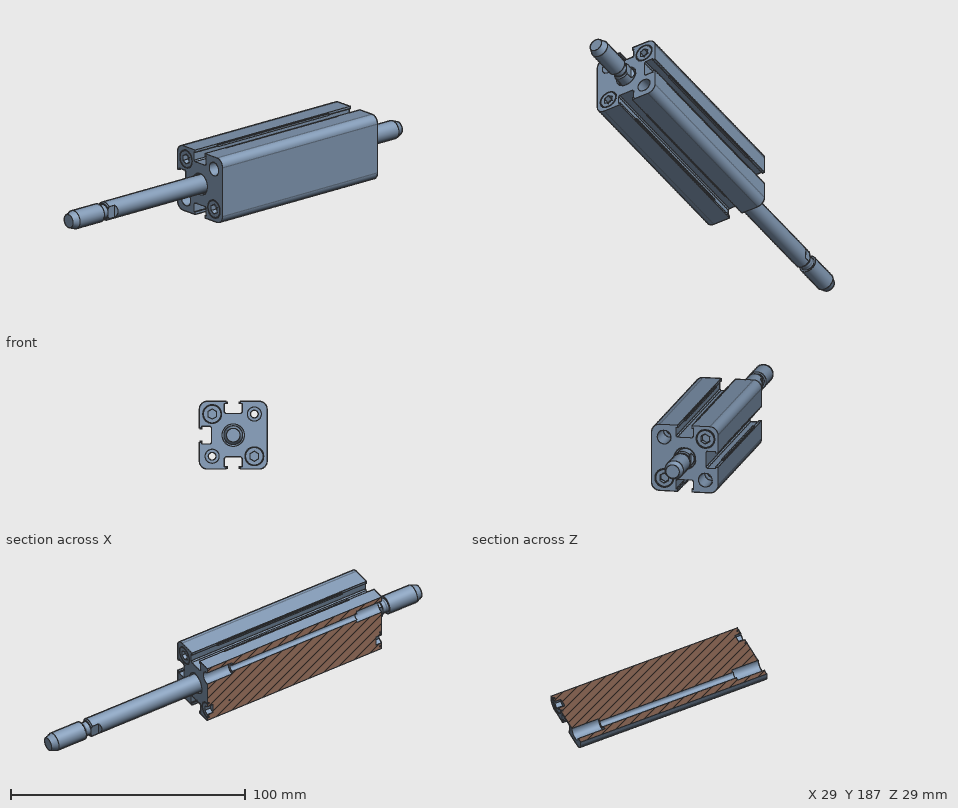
import cadquery as cq
import math

overall_length = 187.0
housing_side = 29.0
corner_radius = 3.5
housing_rear_y = 69.2
housing_front_y = -18.9
cap_length = 12.5

slot_width = 7.5
slot_depth = 5.2
slot_floor_chamfer = 0.5
lip_thickness = 1.1
cap_opening = 6.2
profile_opening = 5.0
lip_step_depth = 0.4

bolt_offset = 9.0
screw_pocket_diameter = 8.0
screw_head_diameter = 7.5
screw_gap_depth = 1.0
hex_across_flats = 3.7
screw_socket_depth = 2.8
mount_diameter = 6.0
mount_depth = cap_length
through_diameter = 3.2

rod_diameter = 8.0
bore_diameter = 9.5
bore_depth = 1.9
tip_diameter = 5.8
tip_length = 3.0
thread_length = 16.8
neck_diameter = 6.0
neck_length = 3.0
flare_diameter = 6.4
flare_length = 1.0
shoulder_chamfer = 0.5
flat_width = 6.0
flat_length = 3.7

half_side = housing_side / 2
rod_radius = rod_diameter / 2
rod_end = overall_length / 2


def along_y(start, end):
    """Return a workplane at y = start and the signed length that extrudes it to y = end."""
    return cq.Workplane("XZ", origin=(0, start, 0)), start - end


def cylinder(diameter, start, end, x=0, z=0):
    plane, length = along_y(start, end)
    return plane.center(x, z).circle(diameter / 2).extrude(length)


def hex_socket(start, end, x, z):
    """Hexagonal pocket with two of its corners pointing up and down."""
    across_corners = hex_across_flats / math.cos(math.radians(30))
    plane, length = along_y(start, end)
    pocket = plane.polygon(6, across_corners).extrude(length)
    return pocket.rotate((0, 0, 0), (0, 1, 0), 90).translate((x, 0, z))


def housing_block():
    plane, length = along_y(housing_front_y, housing_rear_y)
    block = plane.rect(housing_side, housing_side).extrude(length)
    return block.edges("|Y").fillet(corner_radius)


def t_slot():
    """Slot along the whole top side, with the lips of the middle profile."""
    floor = half_side - slot_depth
    right_side = [
        (slot_width / 2 - slot_floor_chamfer, floor),
        (slot_width / 2, floor + slot_floor_chamfer),
        (slot_width / 2, half_side - lip_thickness),
        (profile_opening / 2, half_side - lip_thickness),
        (profile_opening / 2, half_side),
    ]
    left_side = [(-x, z) for x, z in reversed(right_side)]
    plane, length = along_y(housing_front_y, housing_rear_y)
    return plane.polyline(right_side + left_side).close().extrude(length)


def lip_relief(start, end, depth):
    """Channel that widens the mouth of the top slot to the cap opening, down to a depth."""
    plane, length = along_y(start, end)
    return plane.center(0, half_side - depth / 2).rect(cap_opening, depth).extrude(length)


def slots():
    """Slots for the top, bottom and left sides; the lips are shorter inside the two caps."""
    slot = t_slot().union(lip_relief(housing_front_y, housing_rear_y, lip_step_depth))
    slot = slot.union(lip_relief(housing_front_y, housing_front_y + cap_length, lip_thickness))
    slot = slot.union(lip_relief(housing_rear_y - cap_length, housing_rear_y, lip_thickness))
    cutters = cq.Workplane()
    for angle in (0, 180, -90):
        cutters = cutters.add(slot.rotate((0, 0, 0), (0, 1, 0), angle))
    return cutters.combine()


def end_face_cutters(face_y, inward):
    """Recesses in one end face; inward is the Y direction that leads into the housing."""
    gap_floor = face_y + inward * screw_gap_depth
    socket_floor = face_y + inward * screw_socket_depth
    mount_floor = face_y + inward * mount_depth
    cutters = cylinder(bore_diameter, face_y, face_y + inward * bore_depth)
    for side in (-1, 1):
        screw = (side * bolt_offset, -side * bolt_offset)
        mount = (side * bolt_offset, side * bolt_offset)
        gap = cylinder(screw_pocket_diameter, face_y, gap_floor, *screw)
        gap = gap.cut(cylinder(screw_head_diameter, face_y, gap_floor, *screw))
        socket = hex_socket(face_y, socket_floor, *screw)
        cutters = cutters.union(gap).union(socket)
        cutters = cutters.union(cylinder(mount_diameter, face_y, mount_floor, *mount))
    return cutters


def through_holes():
    holes = cq.Workplane()
    for side in (-1, 1):
        offset = side * bolt_offset
        holes = holes.add(cylinder(through_diameter, housing_front_y, housing_rear_y, offset, offset))
    return holes.combine()


def rod():
    """Rear half of the rod, revolved about Y with its flats cut, and its mirror image."""
    thread_end = rod_end - thread_length
    shoulder = thread_end - neck_length
    outline = [
        (0, 0),
        (rod_radius, 0),
        (rod_radius, shoulder - shoulder_chamfer),
        (rod_radius - shoulder_chamfer, shoulder),
        (neck_diameter / 2, shoulder),
        (neck_diameter / 2, thread_end - flare_length),
        (flare_diameter / 2, thread_end),
        (rod_radius, thread_end),
        (rod_radius, rod_end - tip_length),
        (tip_diameter / 2, rod_end),
        (0, rod_end),
    ]
    half = cq.Workplane("XY").polyline(outline).close().revolve(360, (0, 0, 0), (0, 1, 0))
    runout = rod_radius - flat_width / 2
    flat = [
        (flat_width / 2, shoulder),
        (flat_width / 2, shoulder - flat_length),
        (rod_radius, shoulder - flat_length - runout),
        (rod_radius, shoulder),
    ]
    flat_cut = cq.Workplane("XY").polyline(flat).close().extrude(rod_radius, both=True)
    half = half.cut(flat_cut).cut(flat_cut.mirror("YZ"))
    return half.union(half.mirror("XZ"))


housing = housing_block().cut(slots()).cut(through_holes())
housing = housing.cut(end_face_cutters(housing_front_y, 1))
housing = housing.cut(end_face_cutters(housing_rear_y, -1))
result = housing.union(rod())